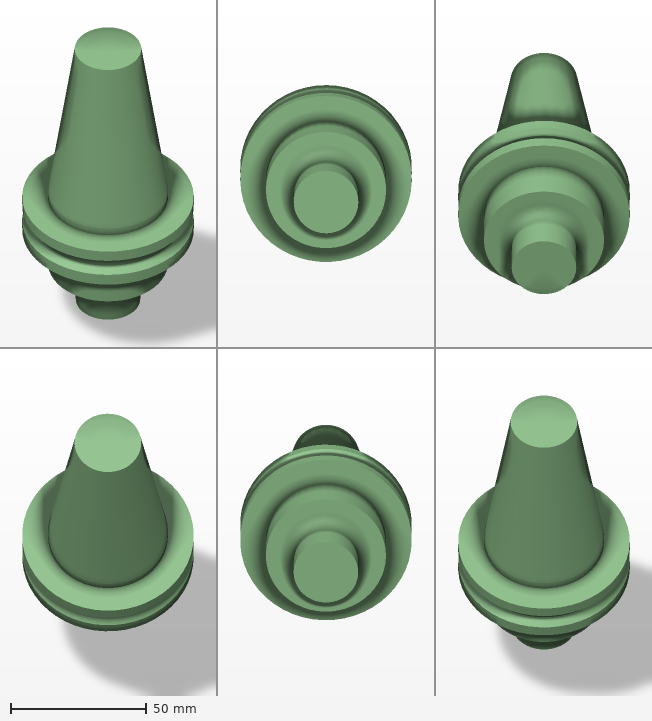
import cadquery as cq


nose_diameter = 23.9
collar_diameter = 44.4
flange_diameter = 63.5
groove_diameter = 56.3
taper_tip_diameter = 24.6

total_length = 120.8
collar_bottom = 17.4
flange_bottom = 33.5
flange_thickness = 15.9
taper_seat_length = 3.1

lower_rim_thickness = 4.7
upper_rim_thickness = 4.5
groove_side_height = 1.5
groove_shoulder_diameter = 58.5

nose_fillet_radius = 4.7


def cylinder(diameter, bottom, top):
    """Cylinder on the Z axis between two heights."""
    return cq.Workplane("XY").workplane(offset=bottom).circle(diameter / 2).extrude(top - bottom)


def make_nose():
    """Nose cylinder with its concave fillet flaring out to the collar."""
    radius = nose_diameter / 2
    fillet_start = collar_bottom - nose_fillet_radius
    flare_radius = radius + nose_fillet_radius
    return (
        cq.Workplane("XZ")
        .lineTo(radius, 0)
        .lineTo(radius, fillet_start)
        .radiusArc((flare_radius, collar_bottom), nose_fillet_radius)
        .lineTo(0, collar_bottom)
        .close()
        .revolve(360, (0, 0, 0), (0, 1, 0))
    )


def make_groove_cutter(flange_top):
    """Ring that cuts the groove, with conical sides, flat shoulders and a cylindrical floor."""
    rim_radius = flange_diameter / 2
    shoulder_radius = groove_shoulder_diameter / 2
    floor_radius = groove_diameter / 2
    lower_edge = flange_bottom + lower_rim_thickness
    upper_edge = flange_top - upper_rim_thickness
    lower_shoulder = lower_edge + groove_side_height
    upper_shoulder = upper_edge - groove_side_height
    return (
        cq.Workplane("XZ")
        .moveTo(rim_radius, lower_edge)
        .lineTo(shoulder_radius, lower_shoulder)
        .lineTo(floor_radius, lower_shoulder)
        .lineTo(floor_radius, upper_shoulder)
        .lineTo(shoulder_radius, upper_shoulder)
        .lineTo(rim_radius, upper_edge)
        .close()
        .revolve(360, (0, 0, 0), (0, 1, 0))
    )


def make_taper(bottom):
    """Conical shank narrowing to its flat tip."""
    return (
        cq.Workplane("XY")
        .workplane(offset=bottom)
        .circle(collar_diameter / 2)
        .workplane(offset=total_length - bottom)
        .circle(taper_tip_diameter / 2)
        .loft(ruled=True)
    )


flange_top = flange_bottom + flange_thickness
taper_bottom = flange_top + taper_seat_length

collar = cylinder(collar_diameter, collar_bottom, taper_bottom)
flange = cylinder(flange_diameter, flange_bottom, flange_top).cut(make_groove_cutter(flange_top))

result = make_nose().union(collar).union(flange).union(make_taper(taper_bottom))